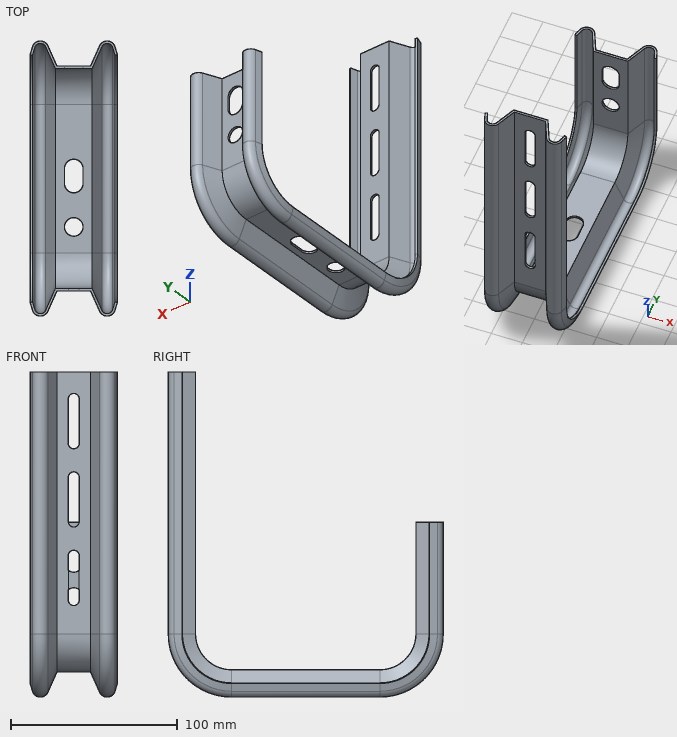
import cadquery as cq
import math

rail_width = 52.4
bracket_length = 165.0
tall_leg_height = 195.0
short_leg_height = 105.0
bend_radius = 38.0

sheet_thickness = 1.5
rail_depth = 16.5
crest_radius = 5.0
crest_offset = 20.0
wall_tilt = math.radians(24.0)
lip_tilt = math.radians(17.0)

leg_slot_width = 6.5
leg_slot_length = 33.0
leg_slot_count = 3
leg_slot_pitch = 47.0
top_slot_height = 165.5
hole_diameter = 11.0
wide_slot_length = 20.0
base_hole_y = -29.0
base_slot_y = 1.5
short_leg_hole_height = 60.0
short_leg_slot_height = 85.0

outer_y = bracket_length / 2
straight_y = outer_y - bend_radius
lip_root_x = crest_offset + crest_radius * math.cos(lip_tilt)
lip_length = (rail_width / 2 - lip_root_x) / math.sin(lip_tilt)


def half_face(radius, web_depth):
    """Points (x, depth) of one sheet face: web corner, crest start, crest middle, crest end, lip end."""
    start_x = crest_offset - radius * math.cos(wall_tilt)
    start_depth = crest_radius - radius * math.sin(wall_tilt)
    corner_x = start_x - (web_depth - start_depth) * math.tan(wall_tilt)
    end_x = crest_offset + radius * math.cos(lip_tilt)
    end_depth = crest_radius - radius * math.sin(lip_tilt)
    lip_x = end_x + lip_length * math.sin(lip_tilt)
    lip_depth = end_depth + lip_length * math.cos(lip_tilt)
    return [
        (corner_x, web_depth),
        (start_x, start_depth),
        (crest_offset, crest_radius - radius),
        (end_x, end_depth),
        (lip_x, lip_depth),
    ]


def mirrored(points):
    return [(-x, depth) for x, depth in points]


def rail_section():
    """Closed sheet section, drawn at the top of the tall leg with depth along +Y."""
    outer = half_face(crest_radius, rail_depth - sheet_thickness)
    inner = half_face(crest_radius - sheet_thickness, rail_depth)
    start = mirrored(outer)[0]
    section = cq.Workplane("XY", origin=(0, -outer_y, tall_leg_height)).moveTo(*start)
    for near, far in ((outer, inner), (mirrored(inner), mirrored(outer))):
        section = (
            section.lineTo(*near[0])
            .lineTo(*near[1])
            .threePointArc(near[2], near[3])
            .lineTo(*near[4])
            .lineTo(*far[4])
            .lineTo(*far[3])
            .threePointArc(far[2], far[1])
            .lineTo(*far[0])
        )
    return section.close()


def rail_path():
    """Outer line of the U: down the tall leg, along the base and up the short leg."""
    bend_shift = bend_radius * (1 - math.sqrt(0.5))
    return (
        cq.Workplane("YZ")
        .moveTo(-outer_y, tall_leg_height)
        .lineTo(-outer_y, bend_radius)
        .threePointArc((-outer_y + bend_shift, bend_shift), (-straight_y, 0))
        .lineTo(straight_y, 0)
        .threePointArc((outer_y - bend_shift, bend_shift), (outer_y, bend_radius))
        .lineTo(outer_y, short_leg_height)
    )


def tall_leg_slots():
    heights = [top_slot_height - i * leg_slot_pitch for i in range(leg_slot_count)]
    return (
        cq.Workplane("XZ", origin=(0, -outer_y + rail_depth, 0))
        .pushPoints([(0, height) for height in heights])
        .slot2D(leg_slot_length, leg_slot_width, 90)
        .extrude(rail_depth)
    )


def hole_and_slot(plane, hole_position, slot_position):
    """Round hole and wide slot on the middle line of the web, cut one rail depth deep."""
    hole = plane.center(0, hole_position).circle(hole_diameter / 2).extrude(rail_depth)
    slot = plane.center(0, slot_position).slot2D(wide_slot_length, hole_diameter, 90).extrude(rail_depth)
    return hole.union(slot)


base_plane = cq.Workplane("XY")
short_leg_plane = cq.Workplane("XZ", origin=(0, outer_y, 0))

result = (
    rail_section()
    .sweep(rail_path())
    .cut(tall_leg_slots())
    .cut(hole_and_slot(base_plane, base_hole_y, base_slot_y))
    .cut(hole_and_slot(short_leg_plane, short_leg_hole_height, short_leg_slot_height))
)